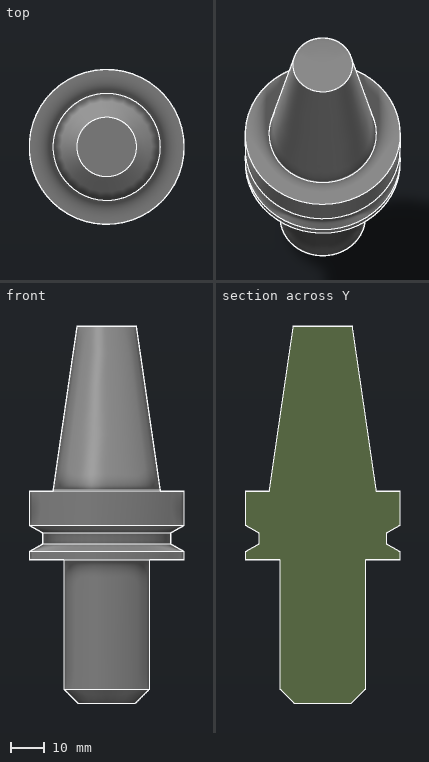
import cadquery as cq

total_height = 111.9
flange_bottom = 42.6
flange_top = 63.0
gauge_height = 63.5

flange_diameter = 46.0
groove_diameter = 38.0
shank_diameter = 25.4
gauge_diameter = 31.8

taper_ratio = 7 / 24
taper_tip_diameter = gauge_diameter - taper_ratio * (total_height - gauge_height)

lower_rim_height = 2.5
groove_flank_height = 2.2
groove_floor_height = 3.2
nose_chamfer = 4.3


def cylinder(diameter, bottom, top):
    """Solid cylinder about Z between two heights."""
    return cq.Workplane("XY").workplane(offset=bottom).circle(diameter / 2).extrude(top - bottom)


def make_shank():
    """Cylindrical shank with a chamfered nose."""
    return cylinder(shank_diameter, 0, flange_bottom).faces("<Z").chamfer(nose_chamfer)


def make_flange():
    """Flange disc with a flat-floored V-groove turned around its rim."""
    groove_bottom = flange_bottom + lower_rim_height
    floor_bottom = groove_bottom + groove_flank_height
    floor_top = floor_bottom + groove_floor_height
    groove_top = floor_top + groove_flank_height
    groove = (
        cq.Workplane("XZ")
        .moveTo(flange_diameter / 2, groove_bottom)
        .lineTo(groove_diameter / 2, floor_bottom)
        .lineTo(groove_diameter / 2, floor_top)
        .lineTo(flange_diameter / 2, groove_top)
        .close()
        .revolve(360, (0, 0, 0), (0, 1, 0))
    )
    return cylinder(flange_diameter, flange_bottom, flange_top).cut(groove)


def make_taper():
    """Steep taper rising from a short cylindrical collar."""
    collar = cylinder(gauge_diameter, flange_top, gauge_height)
    cone = cq.Workplane(
        cq.Solid.makeCone(
            gauge_diameter / 2,
            taper_tip_diameter / 2,
            total_height - gauge_height,
            pnt=cq.Vector(0, 0, gauge_height),
        )
    )
    return collar.union(cone)


result = make_shank().union(make_flange()).union(make_taper())